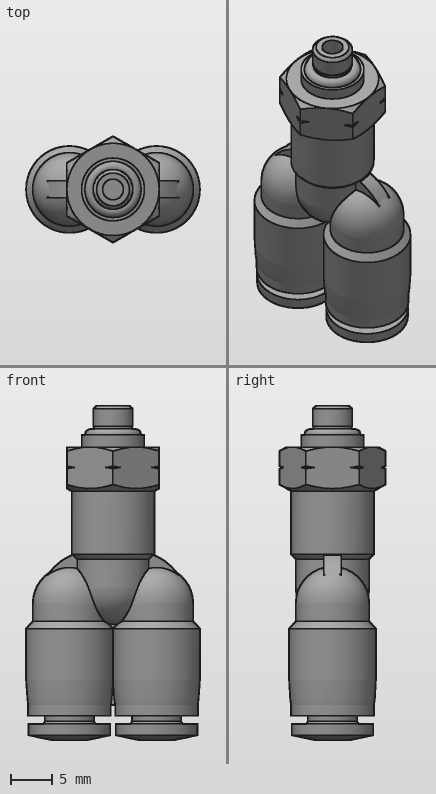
import cadquery as cq
import math

TOTAL_HEIGHT = 40.4
THREAD_RADIUS = 4.8 / 2
THREAD_TIP_RADIUS = 3.95 / 2
THREAD_CHAMFER = 0.4
THREAD_BOTTOM = 37.9
NECK_RADIUS = 2.3
SEAL_INNER_RADIUS = 3.88 / 2
SEAL_TUBE_RADIUS = 0.73
SEAL_RADIUS = SEAL_INNER_RADIUS + SEAL_TUBE_RADIUS
COLLAR_RADIUS = 7.6 / 2
COLLAR_TOP = 36.85
BORE_DIAMETER = 2.5
BORE_DEPTH = 5.0

HEX_ACROSS_CORNERS = 12.85
HEX_CORNER_RADIUS = HEX_ACROSS_CORNERS / 2
HEX_FLAT_RADIUS = HEX_CORNER_RADIUS * math.cos(math.pi / 6)
HEX_TOP = 35.4
HEX_BOTTOM = 30.05
HEX_CHAMFER_SLOPE = math.tan(math.radians(30))
NOTCH_HEIGHT = 32.93
NOTCH_DEPTH = 0.45
NOTCH_HALF_WIDTH = 0.15

BARREL_RADIUS = 10.0 / 2
BARREL_BOTTOM = 22.45
STEM_RADIUS = 4.45
STEM_TOP = 21.85
STEM_DOME_CENTER = 18.42

SOCKET_RADIUS = 5.25
SOCKET_OFFSET = SOCKET_RADIUS
DOME_RADIUS = STEM_RADIUS
DOME_CENTER = 16.52
SHOULDER_TOP = 14.35
SHOULDER_BOTTOM = 13.5
TAPER_TOP = 7.27
TAPER_BOTTOM = 4.25
SOCKET_END_RADIUS = BARREL_RADIUS
SOCKET_BOTTOM = 2.95
RELEASE_NECK_RADIUS = 5.98 / 2
RELEASE_FLARE_RADIUS = 3.15
RELEASE_FLARE_TOP = 2.3
RELEASE_RADIUS = 9.9 / 2
RELEASE_TOP = 1.98
RELEASE_EDGE = 0.6
RELEASE_FACE_RADIUS = 2.0

RIB_WIDTH = 2.05
RIB_TOP = 22.35
RIB_MIDDLE = (6.55, 21.4)
RIB_END = (7.9, 19.9)
WEB_THICKNESS = 1.0
WEB_TOP = SHOULDER_TOP


def revolve_about_z(profile):
    return profile.close().revolve(360, (0, 0, 0), (0, 1, 0))


def make_connector():
    seal_top = COLLAR_TOP + SEAL_TUBE_RADIUS
    neck_bottom = COLLAR_TOP + math.sqrt(SEAL_TUBE_RADIUS**2 - (SEAL_RADIUS - NECK_RADIUS) ** 2)
    profile = (
        cq.Workplane("XZ")
        .moveTo(0, STEM_DOME_CENTER - STEM_RADIUS)
        .radiusArc((STEM_RADIUS, STEM_DOME_CENTER), -STEM_RADIUS)
        .lineTo(STEM_RADIUS, STEM_TOP)
        .lineTo(BARREL_RADIUS, BARREL_BOTTOM)
        .lineTo(BARREL_RADIUS, HEX_TOP)
        .lineTo(COLLAR_RADIUS, HEX_TOP)
        .lineTo(COLLAR_RADIUS, COLLAR_TOP)
        .lineTo(SEAL_RADIUS + SEAL_TUBE_RADIUS, COLLAR_TOP)
        .threePointArc((SEAL_RADIUS, seal_top), (NECK_RADIUS, neck_bottom))
        .lineTo(NECK_RADIUS, THREAD_BOTTOM)
        .lineTo(THREAD_RADIUS, THREAD_BOTTOM)
        .lineTo(THREAD_RADIUS, TOTAL_HEIGHT - THREAD_CHAMFER)
        .lineTo(THREAD_TIP_RADIUS, TOTAL_HEIGHT)
        .lineTo(0, TOTAL_HEIGHT)
    )
    return revolve_about_z(profile)


def make_hex_nut():
    prism = (
        cq.Workplane("XY", origin=(0, 0, HEX_BOTTOM))
        .polygon(6, HEX_ACROSS_CORNERS)
        .extrude(HEX_TOP - HEX_BOTTOM)
        .rotate((0, 0, 0), (0, 0, 1), 30)
    )
    top_drop = (HEX_CORNER_RADIUS - HEX_FLAT_RADIUS) * HEX_CHAMFER_SLOPE
    bottom_rise = (HEX_CORNER_RADIUS - BARREL_RADIUS) * HEX_CHAMFER_SLOPE
    envelope = revolve_about_z(
        cq.Workplane("XZ")
        .moveTo(0, HEX_BOTTOM)
        .lineTo(BARREL_RADIUS, HEX_BOTTOM)
        .lineTo(HEX_CORNER_RADIUS, HEX_BOTTOM + bottom_rise)
        .lineTo(HEX_CORNER_RADIUS, NOTCH_HEIGHT - NOTCH_HALF_WIDTH)
        .lineTo(HEX_CORNER_RADIUS - NOTCH_DEPTH, NOTCH_HEIGHT)
        .lineTo(HEX_CORNER_RADIUS, NOTCH_HEIGHT + NOTCH_HALF_WIDTH)
        .lineTo(HEX_CORNER_RADIUS, HEX_TOP - top_drop)
        .lineTo(HEX_FLAT_RADIUS, HEX_TOP)
        .lineTo(0, HEX_TOP)
    )
    return prism.intersect(envelope)


def make_socket():
    profile = (
        cq.Workplane("XZ")
        .moveTo(0, DOME_CENTER + DOME_RADIUS)
        .radiusArc((DOME_RADIUS, DOME_CENTER), DOME_RADIUS)
        .lineTo(DOME_RADIUS, SHOULDER_TOP)
        .lineTo(SOCKET_RADIUS, SHOULDER_BOTTOM)
        .lineTo(SOCKET_RADIUS, TAPER_TOP)
        .tangentArcPoint((SOCKET_END_RADIUS, TAPER_BOTTOM), relative=False)
        .lineTo(SOCKET_END_RADIUS, SOCKET_BOTTOM)
        .lineTo(RELEASE_NECK_RADIUS, SOCKET_BOTTOM)
        .lineTo(RELEASE_NECK_RADIUS, RELEASE_FLARE_TOP)
        .lineTo(RELEASE_FLARE_RADIUS, RELEASE_TOP)
        .lineTo(RELEASE_RADIUS, RELEASE_TOP)
        .lineTo(RELEASE_RADIUS, RELEASE_EDGE)
        .lineTo(RELEASE_FACE_RADIUS, 0)
        .lineTo(0, 0)
    )
    return revolve_about_z(profile)


def make_rib():
    return (
        cq.Workplane("XZ")
        .moveTo(0, RIB_TOP)
        .lineTo(BARREL_RADIUS, RIB_TOP)
        .threePointArc(RIB_MIDDLE, RIB_END)
        .lineTo(SOCKET_OFFSET, DOME_CENTER)
        .lineTo(0, DOME_CENTER)
        .close()
        .extrude(RIB_WIDTH / 2, both=True)
    )


def make_web():
    return (
        cq.Workplane("XY", origin=(0, 0, TAPER_BOTTOM))
        .rect(2 * SOCKET_OFFSET, WEB_THICKNESS)
        .extrude(WEB_TOP - TAPER_BOTTOM)
    )


result = make_connector().union(make_hex_nut()).union(make_web())
socket = make_socket().translate((SOCKET_OFFSET, 0, 0))
rib = make_rib()
for feature in (socket, rib):
    result = result.union(feature).union(feature.mirror("YZ"))

bore = (
    cq.Workplane("XY", origin=(0, 0, TOTAL_HEIGHT))
    .circle(BORE_DIAMETER / 2)
    .extrude(-BORE_DEPTH)
)
result = result.cut(bore)